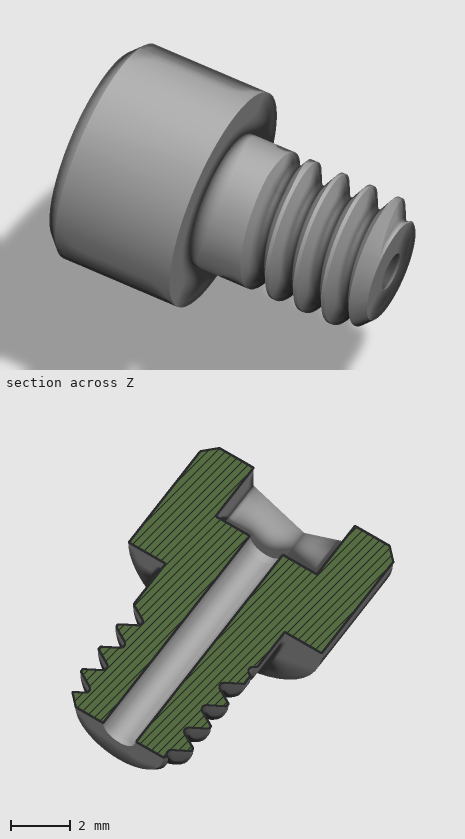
import cadquery as cq
import math


INCH = 25.4

head_diameter = 7.81
head_height = 4.78
head_chamfer = 0.46

socket_sides = 6
socket_across_flats = 4.08
socket_depth = 0.09 * INCH
bore_diameter = 1.32

shank_length = INCH / 4
thread_diameter = 0.19 * INCH
pitch = INCH / 24
thread_turns = 4
turns_past_tip = 0.25

flank_angle = math.radians(30)
sharp_height = pitch / 2 / math.tan(flank_angle)
root_radius = sharp_height / 6
apex_depth = sharp_height * 7 / 8
thread_depth = apex_depth - root_radius

thread_radius = thread_diameter / 2
tip_chamfer = 0.64

overcut = 0.05

runout_rise_per_turn = pitch / math.tan(flank_angle)
runout_angle = 360 * (thread_depth + overcut) / runout_rise_per_turn
runout_sections = 10


def make_head():
    head = cq.Workplane("YZ").circle(head_diameter / 2).extrude(-head_height)
    return head.faces("<X").chamfer(head_chamfer)


def make_shank():
    shank = cq.Workplane("YZ").circle(thread_radius).extrude(shank_length)
    return shank.faces(">X").chamfer(tip_chamfer)


def groove_section(angle, lift=0.0):
    """Groove outline after turning `angle` degrees from the tip toward the head, raised by `lift`."""
    turn = math.radians(angle)
    outward = cq.Vector(0, math.sin(turn), math.cos(turn))
    center = cq.Vector(shank_length - pitch * angle / 360, 0, 0)

    def at(offset, depth):
        radius = thread_radius - depth + lift
        return center + cq.Vector(offset, 0, 0) + outward * radius

    tangent_offset = root_radius * math.cos(flank_angle)
    tangent_depth = apex_depth - tangent_offset / math.tan(flank_angle)
    mouth_offset = (apex_depth + overcut) * math.tan(flank_angle)

    head_mouth = at(-mouth_offset, -overcut)
    head_tangent = at(-tangent_offset, tangent_depth)
    root = at(0, thread_depth)
    tip_tangent = at(tangent_offset, tangent_depth)
    tip_mouth = at(mouth_offset, -overcut)
    return cq.Wire.assembleEdges([
        cq.Edge.makeLine(head_mouth, head_tangent),
        cq.Edge.makeThreePointArc(head_tangent, root, tip_tangent),
        cq.Edge.makeLine(tip_tangent, tip_mouth),
        cq.Edge.makeLine(tip_mouth, head_mouth),
    ])


def make_thread_groove():
    """Full-depth groove, running from beyond the tip back toward the head."""
    start_angle = -360 * turns_past_tip
    helix = cq.Wire.makeHelix(
        pitch,
        pitch * (turns_past_tip + thread_turns),
        thread_radius,
        center=cq.Vector(shank_length + pitch * turns_past_tip, 0, 0),
        dir=cq.Vector(-1, 0, 0),
    )
    start = helix.startPoint()
    helix_angle = math.degrees(math.atan2(start.y, start.z))
    helix = helix.rotate(cq.Vector(0, 0, 0), cq.Vector(1, 0, 0), helix_angle - start_angle)
    return cq.Workplane(obj=cq.Solid.sweep(groove_section(start_angle), [], helix, isFrenet=True))


def make_runout():
    """End of the groove, rising steadily until it leaves the shank."""
    sections = []
    for index in range(runout_sections + 1):
        angle = runout_angle * index / runout_sections
        lift = runout_rise_per_turn * angle / 360
        sections.append(groove_section(360 * thread_turns + angle, lift))
    return cq.Workplane(obj=cq.Solid.makeLoft(sections))


def make_socket():
    corner_diameter = socket_across_flats / math.cos(math.pi / socket_sides)
    socket = cq.Workplane("YZ", origin=(-head_height, 0, 0))
    return socket.transformed(rotate=(0, 0, 90)).polygon(socket_sides, corner_diameter).extrude(socket_depth)


def make_bore():
    bore = cq.Workplane("YZ", origin=(-head_height, 0, 0))
    return bore.circle(bore_diameter / 2).extrude(head_height + shank_length)


threaded_shank = make_shank().cut(make_thread_groove()).cut(make_runout())
result = threaded_shank.union(make_head()).cut(make_socket()).cut(make_bore())